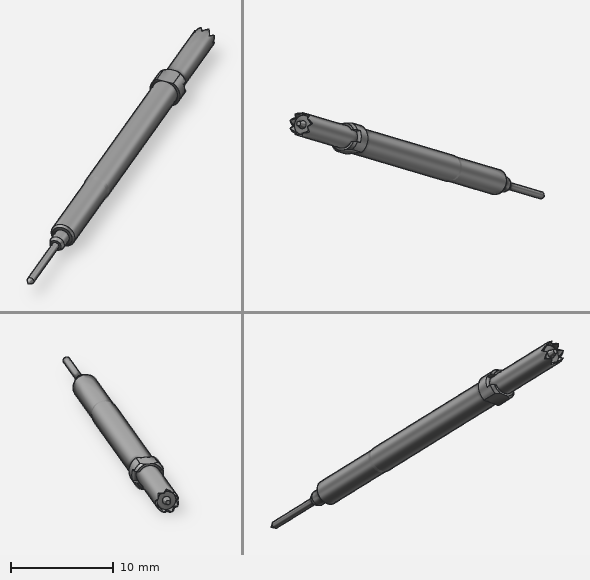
import cadquery as cq
import math

LENGTH = 44.8
PIN_CONE_LENGTH = 0.6
NECK_Y = 6.95
NECK_CHAMFER_LENGTH = 0.4
BARREL_Y = 8.6
BARREL_CHAMFER_LENGTH = 0.22
TAPER_Y = 16.95
TAPER_LENGTH = 0.45
COLLAR_Y = 34.68
COLLAR_END_Y = 36.75

PIN_TIP_DIAMETER = 0.05
PIN_DIAMETER = 0.7
NECK_END_DIAMETER = 1.15
NECK_DIAMETER = 1.52
BARREL_END_DIAMETER = 2.1
LOWER_BARREL_DIAMETER = 2.5
UPPER_BARREL_DIAMETER = 2.65
COLLAR_DIAMETER = 3.2
COLLAR_CHAMFER_DIAMETER = 2.75
PLUNGER_DIAMETER = 2.3

ACROSS_FLATS = UPPER_BARREL_DIAMETER
COLLAR_CHAMFER_LENGTH = 0.3
SLOT_WIDTH = 1.15
SLOT_LENGTH = 0.85

TOOTH_COUNT = 8
TOOTH_DEPTH = 0.7
TOOTH_TIP_DIAMETER = 2.15
TOOTH_CHAMFER_LENGTH = 0.25
COUNTERSINK_FLOOR_DIAMETER = 1.9
SPIKE_BASE_DIAMETER = 0.8
SPIKE_TIP_DIAMETER = 0.45


def revolve_about_axis(stations):
    """Solid of revolution about Y through (diameter, y) stations."""
    first_y = stations[0][1]
    last_y = stations[-1][1]
    outline = [(diameter / 2, y) for diameter, y in stations]
    profile = [(0, first_y)] + outline + [(0, last_y)]
    return cq.Workplane("XY").polyline(profile).close().revolve(360, (0, 0), (0, 1))


def box_along_axis(width, height, start_y, end_y):
    """Box centred on the Y axis between two stations."""
    return (
        cq.Workplane("XY")
        .box(width, end_y - start_y, height, centered=(True, False, True))
        .translate((0, start_y, 0))
    )


def rear_pin():
    return revolve_about_axis([
        (PIN_TIP_DIAMETER, 0),
        (PIN_DIAMETER, PIN_CONE_LENGTH),
        (PIN_DIAMETER, NECK_Y),
    ])


def barrel():
    """Stepped neck and the barrel, which widens slightly at a short taper."""
    return revolve_about_axis([
        (NECK_END_DIAMETER, NECK_Y),
        (NECK_DIAMETER, NECK_Y + NECK_CHAMFER_LENGTH),
        (NECK_DIAMETER, BARREL_Y),
        (BARREL_END_DIAMETER, BARREL_Y),
        (LOWER_BARREL_DIAMETER, BARREL_Y + BARREL_CHAMFER_LENGTH),
        (LOWER_BARREL_DIAMETER, TAPER_Y),
        (UPPER_BARREL_DIAMETER, TAPER_Y + TAPER_LENGTH),
        (UPPER_BARREL_DIAMETER, COLLAR_Y),
    ])


def collar():
    """Collar with two flats, chamfered and slotted at its plunger end."""
    body = revolve_about_axis([
        (COLLAR_DIAMETER, COLLAR_Y),
        (COLLAR_DIAMETER, COLLAR_END_Y - COLLAR_CHAMFER_LENGTH),
        (COLLAR_CHAMFER_DIAMETER, COLLAR_END_Y),
    ])
    flats = box_along_axis(COLLAR_DIAMETER, ACROSS_FLATS, COLLAR_Y, COLLAR_END_Y)
    slot = box_along_axis(COLLAR_DIAMETER, SLOT_WIDTH, COLLAR_END_Y - SLOT_LENGTH, COLLAR_END_Y)
    return body.intersect(flats).cut(slot)


def plunger():
    """Rod ending in a countersunk ring of pointed teeth around a blunt central spike."""
    rod = revolve_about_axis([
        (PLUNGER_DIAMETER, COLLAR_Y),
        (PLUNGER_DIAMETER, LENGTH - TOOTH_CHAMFER_LENGTH),
        (TOOTH_TIP_DIAMETER, LENGTH),
    ])
    valley_y = LENGTH - TOOTH_DEPTH
    countersink = revolve_about_axis([
        (COUNTERSINK_FLOOR_DIAMETER, valley_y),
        (TOOTH_TIP_DIAMETER, LENGTH),
    ])
    crown = rod.cut(countersink)

    half_width = TOOTH_TIP_DIAMETER / 2 * math.sin(math.pi / TOOTH_COUNT)
    groove = (
        cq.Workplane("XY")
        .polyline([(0, valley_y), (half_width, LENGTH), (-half_width, LENGTH)])
        .close()
        .extrude(PLUNGER_DIAMETER, both=True)
    )
    for index in range(TOOTH_COUNT // 2):
        crown = crown.cut(groove.rotate((0, 0, 0), (0, 1, 0), index * 360 / TOOTH_COUNT))

    spike = revolve_about_axis([
        (SPIKE_BASE_DIAMETER, valley_y),
        (SPIKE_TIP_DIAMETER, LENGTH),
    ])
    return crown.union(spike)


result = rear_pin().union(barrel()).union(collar()).union(plunger())